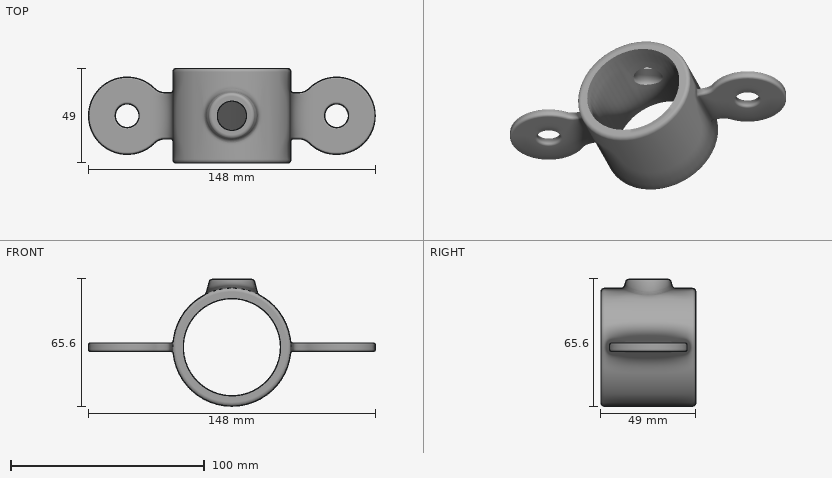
import cadquery as cq
import math

sleeve_radius = 30.5
bore_radius = 25.0
sleeve_length = 49.0
sleeve_edge_round = 1.9

lug_reach = 74.0
lug_radius = 20.0
lug_center = lug_reach - lug_radius
lug_thickness = 4.5
lug_hole_radius = 6.0
lug_edge_round = 1.0
neck_half_width = 12.0
neck_corner_radius = 7.4
neck_root_fillet = 1.0

boss_top = 35.1
boss_start = 17.8
boss_top_radius = 11.4
boss_taper = 15.0
boss_hole_radius = 7.5
boss_edge_round = 1.8
boss_root_fillet = 1.8

wall_middle = (sleeve_radius + bore_radius) / 2

join_margin = 0.1


def make_sleeve():
    """Solid cylinder with rounded end edges, its seam turned to the bottom, clear of lugs and boss."""
    return (
        cq.Workplane("XZ", origin=(0, sleeve_length / 2, 0))
        .circle(sleeve_radius)
        .extrude(sleeve_length)
        .edges()
        .fillet(sleeve_edge_round)
        .rotate((0, 0, 0), (0, 1, 0), 90)
    )


def make_lug():
    """Round plate on the +X side, blended into a straight neck."""
    corner_y = neck_half_width + neck_corner_radius
    corner_x = lug_center - math.sqrt((lug_radius + neck_corner_radius) ** 2 - corner_y**2)
    share = lug_radius / (lug_radius + neck_corner_radius)
    tangent_x = lug_center + share * (corner_x - lug_center)
    tangent_y = share * corner_y

    toward_plate = math.atan2(-corner_y, lug_center - corner_x)
    middle_angle = (toward_plate - math.pi / 2) / 2
    middle_x = corner_x + neck_corner_radius * math.cos(middle_angle)
    middle_y = corner_y + neck_corner_radius * math.sin(middle_angle)

    plate = (
        cq.Workplane("XY", origin=(0, 0, -lug_thickness / 2))
        .moveTo(wall_middle, -neck_half_width)
        .lineTo(corner_x, -neck_half_width)
        .threePointArc((middle_x, -middle_y), (tangent_x, -tangent_y))
        .threePointArc((lug_reach, 0), (tangent_x, tangent_y))
        .threePointArc((middle_x, middle_y), (corner_x, neck_half_width))
        .lineTo(wall_middle, neck_half_width)
        .close()
        .extrude(lug_thickness)
    )
    hole = (
        cq.Workplane("XY")
        .center(lug_center, 0)
        .circle(lug_hole_radius)
        .extrude(lug_thickness, both=True)
    )
    return plate.cut(hole).faces("|Z").edges("not |Y").fillet(lug_edge_round)


def make_boss():
    """Cone frustum that narrows upward, with a rounded top edge."""
    height = boss_top - boss_start
    base_radius = boss_top_radius + height * math.tan(math.radians(boss_taper))
    return (
        cq.Workplane("XY", origin=(0, 0, boss_start))
        .circle(base_radius)
        .workplane(offset=height)
        .circle(boss_top_radius)
        .loft()
        .faces(">Z")
        .edges()
        .fillet(boss_edge_round)
    )


def fillet_root(body, low_corner, high_corner, radius):
    """Fillet the join curves lying wholly inside the given box."""
    return body.edges(cq.selectors.BoxSelector(low_corner, high_corner, boundingbox=True)).fillet(radius)


lug = make_lug()
body = make_sleeve().union(lug).union(lug.mirror("YZ")).union(make_boss())

for side in (-1, 1):
    body = fillet_root(
        body,
        (side * (sleeve_radius - join_margin), -lug_radius, -lug_thickness),
        (side * (sleeve_radius + join_margin), lug_radius, lug_thickness),
        neck_root_fillet,
    )

body = fillet_root(
    body,
    (-lug_radius, -lug_radius, bore_radius),
    (lug_radius, lug_radius, sleeve_radius + join_margin),
    boss_root_fillet,
)

sleeve_bore = cq.Workplane("XZ").circle(bore_radius).extrude(sleeve_length, both=True)
boss_hole = cq.Workplane("XY").circle(boss_hole_radius).extrude(boss_top)
result = body.cut(sleeve_bore).cut(boss_hole)